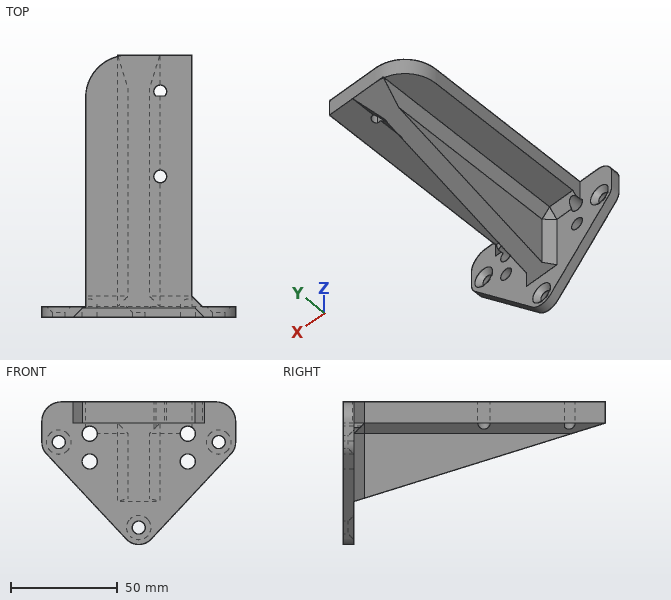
import cadquery as cq
import math

plate_width = 91.0
plate_height = 67.0
plate_thickness = 5.0
ear_radius = 8.0
top_corner_radius = 9.3
ear_hole_z = -19.0
mount_hole_diameter = 6.0
countersink_depth = 2.7
countersink_half_angle = 45

length = 123.0
shelf_width = 49.9
shelf_thickness = 10.1
shelf_corner_radius = 20.0
rib_thickness = 10.0
rib_depth_at_plate = 46.9
web_chamfer = 4.9

shelf_hole_diameter = 5.9
shelf_hole_x = 10.1
outer_hole_y = 105.9
outer_hole_flat_y = 103.8
inner_hole_y = 66.0

bore_diameter = 7.0
bore_x = 23.0
bore_upper_z = -15.0
bore_lower_z = -28.0

recess_front_width = 61.5
recess_depth = 4.3
recess_height = 10.1

half_plate = plate_width / 2
half_shelf = shelf_width / 2
ear_x = half_plate - ear_radius
toe_z = ear_radius - plate_height
mount_points = [(-ear_x, ear_hole_z), (ear_x, ear_hole_z), (0, toe_z)]


def make_plate():
    """Triangular plate with arcs around the three mounting holes."""
    slope = math.atan2(ear_hole_z - toe_z, ear_x)
    normal_x = ear_radius * math.sin(slope)
    normal_z = ear_radius * math.cos(slope)
    ear_mid_angle = (math.pi / 2 - slope) / 2
    middle_x = ear_radius * math.cos(ear_mid_angle)
    middle_z = ear_radius * math.sin(ear_mid_angle)
    profile = (
        cq.Workplane("XZ")
        .moveTo(-half_plate, 0)
        .lineTo(half_plate, 0)
        .lineTo(half_plate, ear_hole_z)
        .threePointArc((ear_x + middle_x, ear_hole_z - middle_z), (ear_x + normal_x, ear_hole_z - normal_z))
        .lineTo(normal_x, toe_z - normal_z)
        .threePointArc((0, -plate_height), (-normal_x, toe_z - normal_z))
        .lineTo(-ear_x - normal_x, ear_hole_z - normal_z)
        .threePointArc((-ear_x - middle_x, ear_hole_z - middle_z), (-half_plate, ear_hole_z))
        .close()
    )
    return profile.extrude(-plate_thickness).edges("|Y and >Z").fillet(top_corner_radius)


def make_shelf():
    """Flat shelf with one rounded outer corner."""
    shelf = cq.Workplane("XY").box(
        shelf_width, length - recess_depth, shelf_thickness, centered=False
    ).translate((-half_shelf, recess_depth, -shelf_thickness))
    return shelf.edges("|Z and <X and >Y").fillet(shelf_corner_radius)


def prism(plane, offset, points, depth):
    return cq.Workplane(plane).workplane(offset=offset).polyline(points).close().extrude(depth)


def below_slope(half_width):
    """Wedge between the top, the plate and the sloping underside."""
    points = [
        (plate_thickness, 0),
        (length, 0),
        (length, -shelf_thickness),
        (plate_thickness, -rib_depth_at_plate),
    ]
    return prism("YZ", -half_width, points, 2 * half_width)


def corner_fill(x, y, z):
    """Fill where three inside chamfers meet, on the left side of the rib."""
    c = web_chamfer
    a, b, d = (x - c, y + c, z), (x, y + c, z - c), (x - c, y, z - c)
    far = (x - c, y + c, z - c)
    faces = []
    for triangle in [(a, b, d), (far, a, b), (far, b, d), (far, d, a)]:
        wire = cq.Wire.makePolygon([cq.Vector(*point) for point in triangle], close=True)
        faces.append(cq.Face.makeFromWires(wire))
    beyond = cq.Workplane(cq.Solid.makeSolid(cq.Shell.makeShell(faces)))
    cube = cq.Workplane("XY").box(c, c, c, centered=False).translate((x - c, y, z - c))
    return cube.cut(beyond)


def make_rib():
    """Central rib with chamfer-filled inside corners at the shelf and plate."""
    c = web_chamfer
    x = -rib_thickness / 2
    y = plate_thickness
    z = -shelf_thickness
    along_shelf = prism("XZ", -y, [(x - c, z), (x, z), (x, z - c)], y - length)
    along_plate = prism("XY", 0, [(x - c, y), (x, y), (x, y + c)], -plate_height)
    left_webs = along_shelf.union(along_plate).union(corner_fill(x, y, z))
    webs = left_webs.union(left_webs.mirror("YZ")).intersect(below_slope(half_shelf))
    under_shelf = prism("YZ", -half_shelf, [(y, z), (y + c, z), (y, z - c)], shelf_width)
    return below_slope(rib_thickness / 2).union(webs).union(under_shelf)


def make_side_gusset():
    """Chamfer fill between the right shelf edge and the plate."""
    c = web_chamfer
    y = plate_thickness
    points = [(half_shelf, y), (half_shelf + c, y), (half_shelf, y + c)]
    return prism("XY", 0, points, -shelf_thickness)


def make_recess():
    """Recess open at the top, with 45 degree end walls."""
    half_front = recess_front_width / 2
    half_back = half_front - recess_depth
    points = [(-half_front, 0), (half_front, 0), (half_back, recess_depth), (-half_back, recess_depth)]
    return prism("XY", 0, points, -recess_height)


def holes_along_y(points, diameter):
    return cq.Workplane("XZ").pushPoints(points).circle(diameter / 2).extrude(-length)


def shelf_hole(y):
    return cq.Workplane("XY").center(shelf_hole_x, y).circle(shelf_hole_diameter / 2).extrude(-plate_height)


def flatted_shelf_hole():
    beyond_flat = (
        cq.Workplane("XY")
        .box(length, length, plate_height, centered=(True, False, False))
        .translate((0, outer_hole_flat_y, -plate_height))
    )
    return shelf_hole(outer_hole_y).intersect(beyond_flat)


def countersinks():
    """Cones opening at the back of the plate around the mounting holes."""
    large = mount_hole_diameter / 2 + countersink_depth * math.tan(math.radians(countersink_half_angle))
    return (
        cq.Workplane("XZ", origin=(0, plate_thickness, 0))
        .pushPoints(mount_points)
        .circle(large)
        .extrude(countersink_depth, taper=countersink_half_angle)
    )


bore_points = [(x, z) for x in (-bore_x, bore_x) for z in (bore_upper_z, bore_lower_z)]

result = (
    make_plate()
    .union(make_shelf())
    .union(make_rib())
    .union(make_side_gusset())
    .cut(make_recess())
    .cut(holes_along_y(mount_points, mount_hole_diameter))
    .cut(countersinks())
    .cut(holes_along_y(bore_points, bore_diameter))
    .cut(flatted_shelf_hole())
    .cut(shelf_hole(inner_hole_y))
)